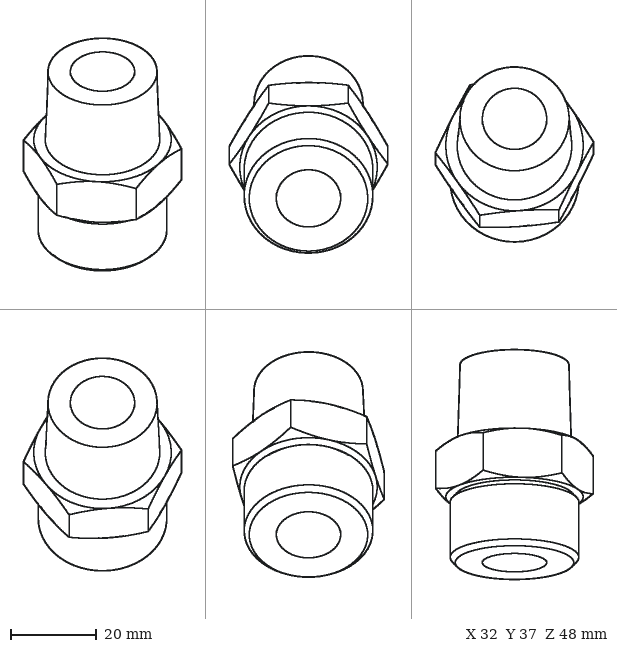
import cadquery as cq
import math

total_height = 48.0
bore_diameter = 15.0

body_diameter = 30.0
body_height = 16.0
body_chamfer_height = 1.3
body_chamfer_width = 1.2

hex_across_flats = 32.0
hex_height = 11.95
hex_chamfer_angle = 30.0

spigot_base_diameter = 26.7
spigot_top_diameter = 25.45

hex_across_corners = hex_across_flats / math.cos(math.radians(30))
hex_top = body_height + hex_height
body_radius = body_diameter / 2
body_end_radius = body_radius - body_chamfer_width


def revolve_profile(points):
    """Turn a closed (radius, height) outline around the Z axis."""
    return cq.Workplane("XZ").polyline(points).close().revolve(360, (0, 0), (0, 1))


def make_body():
    """Lower cylinder, chamfered at both ends."""
    return revolve_profile([
        (0, 0),
        (body_end_radius, 0),
        (body_radius, body_chamfer_height),
        (body_radius, body_height - body_chamfer_height),
        (body_end_radius, body_height),
        (0, body_height),
    ])


def make_hex():
    """Hexagon with corners on Y, its corners turned off conically at both faces."""
    prism = (
        cq.Workplane("XY")
        .workplane(offset=body_height)
        .polygon(6, hex_across_corners)
        .extrude(hex_height)
        .rotate((0, 0, 0), (0, 0, 1), 30)
    )
    face_radius = hex_across_flats / 2
    corner_radius = hex_across_corners / 2
    corner_drop = (corner_radius - face_radius) * math.tan(math.radians(hex_chamfer_angle))
    envelope = revolve_profile([
        (0, body_height),
        (face_radius, body_height),
        (corner_radius, body_height + corner_drop),
        (corner_radius, hex_top - corner_drop),
        (face_radius, hex_top),
        (0, hex_top),
    ])
    return prism.intersect(envelope)


def make_spigot():
    """Upper spigot, tapering towards its open end."""
    return revolve_profile([
        (0, hex_top),
        (spigot_base_diameter / 2, hex_top),
        (spigot_top_diameter / 2, total_height),
        (0, total_height),
    ])


bore = cq.Workplane("XY").circle(bore_diameter / 2).extrude(total_height)

result = make_body().union(make_hex()).union(make_spigot()).cut(bore)